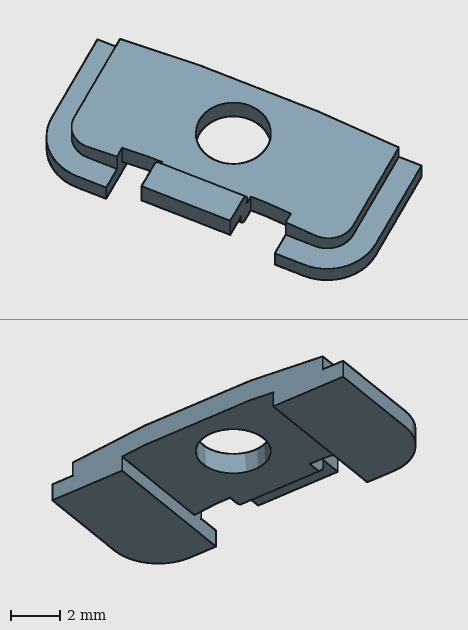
import cadquery as cq

length = 14.6
depth = 6.95
height = 2.55

pad_depth = 6.51
pad_thickness = 0.8
pad_corner_radius = 2.19

plate_margin = 1.02
plate_length = length - 2 * plate_margin
plate_depth = pad_depth - plate_margin
plate_corner_radius = pad_corner_radius - plate_margin
plate_thickness = 0.98
plate_top = pad_thickness + plate_thickness
plate_end_drop = 0.32
bend_x = 2.65

notch_width = 7.59
notch_back = 5.01
hole_diameter = 3.05
hole_center_y = -2.47

tab_width = 4.0
tab_lip_thickness = 1.01
tab_lip_bottom = height - tab_lip_thickness
tab_step_back = 5.36
tab_neck_front = 5.94
tab_bend_radius = 0.5


def front_rounded_slab(slab_length, slab_depth, slab_height, corner_radius):
    """Slab from Z = 0 upwards with its two front vertical edges rounded."""
    return (
        cq.Workplane("XY")
        .box(slab_length, slab_depth, slab_height, centered=(True, False, False))
        .translate((0, -slab_depth, 0))
        .edges("|Z and <Y")
        .fillet(corner_radius)
    )


def notch_block(setback):
    """Cutter as wide as the notch, starting at setback from the back edge and open to the front."""
    return (
        cq.Workplane("XY")
        .box(notch_width, depth, height, centered=(True, False, False))
        .translate((0, -setback - depth, 0))
    )


def make_pads():
    """Two end pads, separated over their whole depth by the notch width."""
    slab = front_rounded_slab(length, pad_depth, pad_thickness, pad_corner_radius)
    return slab.cut(notch_block(0))


def make_plate():
    """Plate of constant vertical thickness, bent down towards both ends."""
    end_x = plate_length / 2
    end_top = plate_top - plate_end_drop
    bent_strip = (
        cq.Workplane("XZ")
        .moveTo(-end_x, end_top)
        .lineTo(-bend_x, plate_top)
        .lineTo(bend_x, plate_top)
        .lineTo(end_x, end_top)
        .lineTo(end_x, end_top - plate_thickness)
        .lineTo(bend_x, pad_thickness)
        .lineTo(-bend_x, pad_thickness)
        .lineTo(-end_x, end_top - plate_thickness)
        .close()
        .extrude(plate_depth)
    )
    outline = front_rounded_slab(plate_length, plate_depth, height, plate_corner_radius)
    return bent_strip.intersect(outline).cut(notch_block(notch_back))


def make_tab():
    """Z-shaped tab: it leaves the plate, steps up and ends in a flat lip."""
    return (
        cq.Workplane("YZ")
        .moveTo(-notch_back, pad_thickness)
        .lineTo(-tab_neck_front + tab_bend_radius, pad_thickness)
        .radiusArc((-tab_neck_front, pad_thickness + tab_bend_radius), tab_bend_radius)
        .lineTo(-tab_neck_front, tab_lip_bottom)
        .lineTo(-depth, tab_lip_bottom)
        .lineTo(-depth, height)
        .lineTo(-tab_step_back - tab_bend_radius, height)
        .radiusArc((-tab_step_back, height - tab_bend_radius), tab_bend_radius)
        .lineTo(-tab_step_back, plate_top)
        .lineTo(-notch_back, plate_top)
        .close()
        .extrude(tab_width / 2, both=True)
    )


screw_hole = (
    cq.Workplane("XY")
    .center(0, hole_center_y)
    .circle(hole_diameter / 2)
    .extrude(height)
)

result = make_pads().union(make_plate()).union(make_tab()).cut(screw_hole)